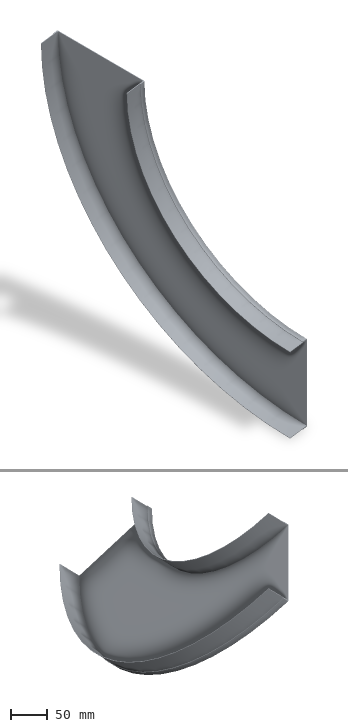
import cadquery as cq

outer_radius = 454.5
inner_radius = 295.5
depth = 35.0
sheet = 1.0
lip_depth = 8.5
bend_radius = 1.5
bend_angle = 90

outer_wall_radius = outer_radius - sheet
inner_wall_radius = inner_radius + sheet


def quarter_ring(small_radius, large_radius, front, back):
    """Quarter ring between two radii, reaching from Y = front to Y = back."""
    return (
        cq.Workplane("XY")
        .moveTo(-large_radius, front)
        .lineTo(-small_radius, front)
        .lineTo(-small_radius, back)
        .lineTo(-large_radius, back)
        .close()
        .revolve(bend_angle, (0, 0, 0), (0, -1, 0))
    )


def make_tray():
    """Curved floor sheet with a short lip, rounded at the back, along both curved edges."""
    tray = quarter_ring(inner_radius, outer_radius, -lip_depth, 0)
    tray = tray.faces(">Y").edges("%CIRCLE").fillet(bend_radius)
    channel = quarter_ring(inner_wall_radius, outer_wall_radius, -lip_depth, -sheet)
    return tray.cut(channel)


def make_wall(small_radius):
    """Curved side wall standing on the floor sheet."""
    return quarter_ring(small_radius, small_radius + sheet, -depth, -sheet)


tray = make_tray()
walls = [make_wall(radius) for radius in (inner_wall_radius, outer_wall_radius - sheet)]

result = cq.Compound.makeCompound([tray.val(), *[wall.val() for wall in walls]])